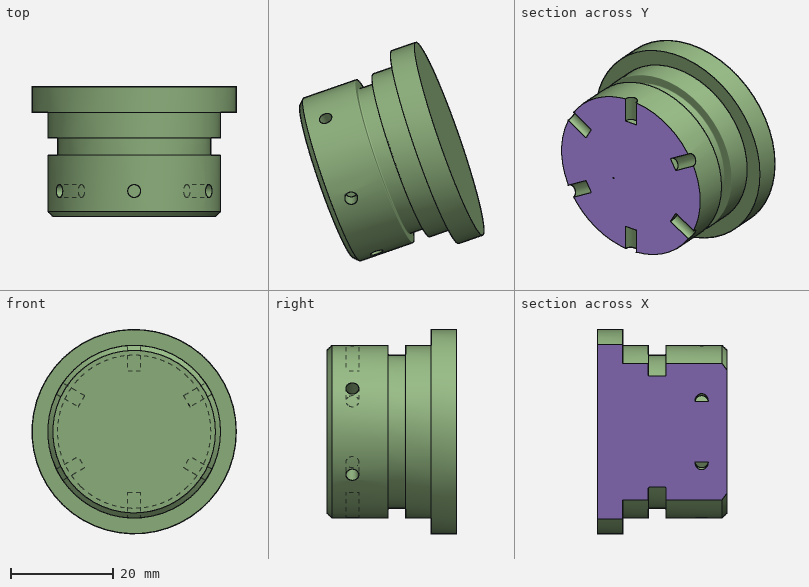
import cadquery as cq

flange_diameter = 40
body_diameter = 33.8
groove_diameter = 30
length = 25.4
flange_thickness = 5.0
groove_start = 10
groove_width = 3.4
groove_root_radius = 0.2
groove_rim_radius = 0.1
front_chamfer = 1.0

hole_diameter = 2.5
hole_depth = 5.0
hole_count = 6
hole_from_front = 5.0


def make_turned_body():
    """Revolve the half section, with Y measured from the flange's back face toward the front."""
    flange_radius = flange_diameter / 2
    body_radius = body_diameter / 2
    groove_radius = groove_diameter / 2
    groove_end = groove_start + groove_width
    half_section = [
        (0, 0),
        (flange_radius, 0),
        (flange_radius, -flange_thickness),
        (body_radius, -flange_thickness),
        (body_radius, -groove_start),
        (groove_radius, -groove_start),
        (groove_radius, -groove_end),
        (body_radius, -groove_end),
        (body_radius, -length + front_chamfer),
        (body_radius - front_chamfer, -length),
        (0, -length),
    ]
    body = cq.Workplane("XY").polyline(half_section).close().revolve(360, (0, 0), (0, 1))
    groove_root_edges = cq.selectors.RadiusNthSelector(0)
    body = body.edges(groove_root_edges).fillet(groove_root_radius)
    for rim_y in (-groove_start, -groove_end):
        rim_edge = cq.selectors.BoxSelector(
            (-flange_radius, rim_y - groove_rim_radius, -flange_radius),
            (flange_radius, rim_y + groove_rim_radius, flange_radius),
        )
        body = body.edges(rim_edge).edges(cq.selectors.RadiusNthSelector(-1)).fillet(groove_rim_radius)
    return body


def make_radial_hole(angle):
    """Blind hole drilled toward the axis, turned by angle from the +Z direction."""
    hole_floor = body_diameter / 2 - hole_depth
    cutter_length = flange_diameter / 2 - hole_floor
    hole_y = hole_from_front - length
    return (
        cq.Workplane("XY", origin=(0, hole_y, hole_floor))
        .circle(hole_diameter / 2)
        .extrude(cutter_length)
        .rotate((0, 0, 0), (0, 1, 0), angle)
    )


result = make_turned_body()
for index in range(hole_count):
    result = result.cut(make_radial_hole(index * 360 / hole_count))